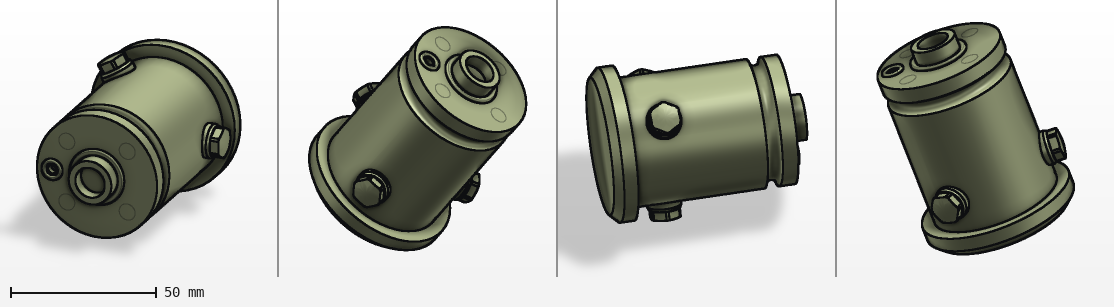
import cadquery as cq
import math


body_radius = 22.5
body_length = 65.0
flange_radius = 27.0
flange_thickness = 8.0
flange_chamfer = 3.05

groove_radius = 5.2 / 2
groove_front_y = 5.5

shaft_radius = 16.0 / 2
overall_length = 71.0
shaft_length = overall_length - body_length
bore_radius = 11.0 / 2
bore_depth = 5.0

seal_radius = 10.2
seal_height = 1.1
seal_edge_fillet = 0.6

grommet_x = -16.75
grommet_radius = 3.9
grommet_height = 0.9
grommet_edge_fillet = 0.65
grommet_opening_radius = 2.2
grommet_opening_fillet = 0.6
grommet_hole_radius = 1.55
grommet_hole_depth = 3.0

pin_radius = 3.0
pin_depth = 9.95
pin_offset = 11.3

screw_y = 44.95
screw_count = 3
screw_tip = 29.0
head_rim = 28.2
collar_top = 25.05
collar_shoulder_start = 23.85
collar_radius = 6.0
head_corner_radius = 11.0 / 2
head_across_flats = 10.0
screw_root = 17.75


def front_cylinder(radius, y_start, y_end, x=0, z=0):
    """Cylinder parallel to Y from y_start to y_end."""
    start = cq.Vector(x, y_start, z)
    return cq.Workplane(cq.Solid.makeCylinder(radius, y_end - y_start, start, cq.Vector(0, 1, 0)))


def make_body():
    """Turned body with its chamfered flange at the back and round groove at the front."""
    groove_center_y = groove_front_y + groove_radius
    groove_back_y = groove_front_y + 2 * groove_radius
    profile = (
        cq.Workplane("XY")
        .lineTo(body_radius, 0)
        .lineTo(body_radius, groove_front_y)
        .threePointArc((body_radius - groove_radius, groove_center_y), (body_radius, groove_back_y))
        .lineTo(body_radius, body_length - flange_thickness)
        .lineTo(flange_radius, body_length - flange_thickness)
        .lineTo(flange_radius, body_length - flange_chamfer)
        .lineTo(flange_radius - flange_chamfer, body_length)
        .lineTo(0, body_length)
        .close()
    )
    return profile.revolve(360, (0, 0, 0), (0, 1, 0))


def make_ring(outer_radius, inner_radius, height, outer_fillet, inner_fillet):
    """Raised ring on the front face, rounded on its outer and inner edges."""
    ring = front_cylinder(outer_radius, -height, 0).faces("<Y").edges().fillet(outer_fillet)
    ring = ring.cut(front_cylinder(inner_radius, -height, 0))
    opening_edge = cq.selectors.RadiusNthSelector(0)
    return ring.faces("<Y").edges(opening_edge).fillet(inner_fillet)


def make_screw():
    """Screw along +X: a collar with a sloped shoulder and a domed hexagon head."""
    collar = (
        cq.Workplane("XY")
        .moveTo(screw_root, 0)
        .lineTo(screw_root, collar_radius)
        .lineTo(collar_shoulder_start, collar_radius)
        .lineTo(collar_top, head_corner_radius)
        .lineTo(collar_top, 0)
        .close()
        .revolve(360, (0, 0, 0), (1, 0, 0))
    )

    dome_rise = screw_tip - head_rim
    dome_radius = (head_corner_radius**2 + dome_rise**2) / (2 * dome_rise)
    head_round = (
        cq.Workplane("XY")
        .moveTo(screw_root, 0)
        .lineTo(screw_root, head_corner_radius)
        .lineTo(head_rim, head_corner_radius)
        .radiusArc((screw_tip, 0), dome_radius)
        .close()
        .revolve(360, (0, 0, 0), (1, 0, 0))
    )
    hexagon = (
        cq.Workplane("YZ", origin=(screw_root, 0, 0))
        .transformed(rotate=(0, 0, 90))
        .polygon(6, head_across_flats / math.cos(math.pi / 6))
        .extrude(screw_tip - screw_root)
    )
    return collar.union(head_round.intersect(hexagon)).translate((0, screw_y, 0))


def make_pins():
    """Square pattern of pins ending level with the front face."""
    pins = cq.Workplane()
    for x in (-pin_offset, pin_offset):
        for z in (-pin_offset, pin_offset):
            pins = pins.add(front_cylinder(pin_radius, 0, pin_depth, x, z))
    return pins.combine()


result = make_body()

screw = make_screw()
for index in range(screw_count):
    result = result.union(screw.rotate((0, 0, 0), (0, 1, 0), index * 360 / screw_count))

result = result.union(make_ring(seal_radius, shaft_radius, seal_height, seal_edge_fillet, seal_edge_fillet))
result = result.union(front_cylinder(shaft_radius, -shaft_length, 0))
result = result.cut(front_cylinder(bore_radius, -shaft_length, bore_depth - shaft_length))

grommet = make_ring(
    grommet_radius, grommet_opening_radius, grommet_height, grommet_edge_fillet, grommet_opening_fillet
)
result = result.union(grommet.translate((grommet_x, 0, 0)))
result = result.cut(front_cylinder(grommet_hole_radius, 0, grommet_hole_depth, grommet_x))

pins = make_pins()
result = result.cut(pins).union(pins, clean=False)